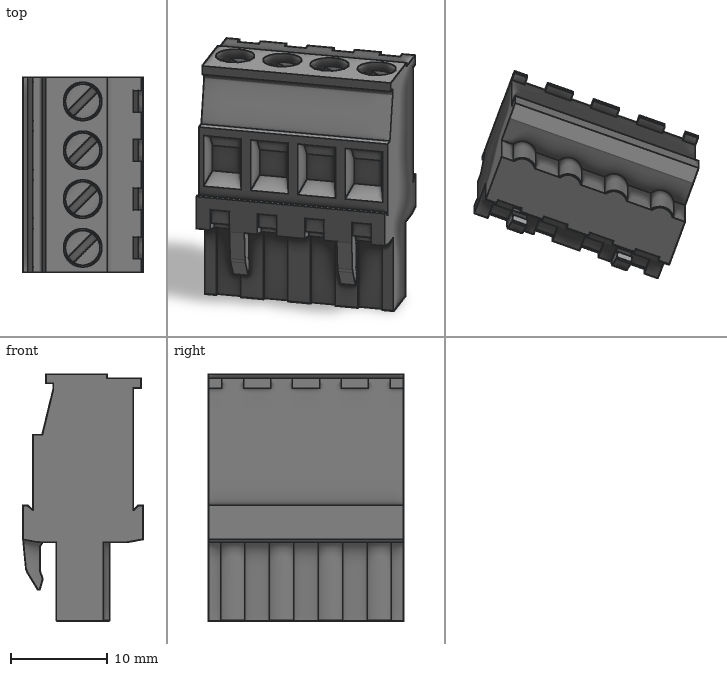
import cadquery as cq

POLES = 4
PITCH = 5.08
LENGTH = POLES * PITCH
HEIGHT = 25.7
FLANGE_WIDTH = 12.5
POLE_Y = [PITCH * (pole + 0.5) for pole in range(POLES)]

BODY_FRONT = 1.03
BODY_BACK = 11.5
BODY_SHOULDER_X = 2.0
BODY_SHOULDER_Z = 19.4
NECK_X = 3.15
NECK_Z = 24.15
LIP_FRONT = 2.38
LIP_BOTTOM = 24.75
TOP_STEP_X = 8.75
BACK_LIP_X = 12.3
BACK_LIP_TOP = 25.3
BACK_LIP_BOTTOM = 24.25

FLANGE_TOP = 12.05
FLANGE_BOTTOM = 8.2
FLANGE_EDGE_Z = 8.5
FLANGE_RELIEF_LENGTH = 1.65
EAR_WIDTH = 0.5
EAR_GROOVE_DEPTH = 0.5

PLUG_FRONT = 3.45
PLUG_BACK = 8.35
PLUG_CHAMFER = 0.1
PLUG_GROOVE_WIDTH = 2.65
PLUG_GROOVE_DEPTH = 0.45
RIB_DIAMETER = 3.0
RIB_BACK = 9.05

ENTRY_WIDTH = 4.05
ENTRY_BOTTOM = 12.9
ENTRY_TOP = 18.5
ENTRY_DEPTH = 1.6
ENTRY_BACK_WIDTH = 2.98
ENTRY_BACK_BOTTOM = 14.1
ENTRY_BACK_TOP = 16.9
ENTRY_CEILING_DEPTH = 0.6 * ENTRY_DEPTH

SCREW_X = 6.22
SCREW_HOLE_DIAMETER = 4.0
SCREW_HEAD_DIAMETER = 3.6
SCREW_HEAD_RECESS = 0.9
SCREW_SLOT_WIDTH = 0.83
SCREW_SLOT_DEPTH = 1.0
SCREW_SLOT_ANGLE = 45
SCREW_GAP_DEPTH = 1.2

FLANGE_NOTCH_WIDTH = 2.08
FLANGE_NOTCH_TOP = 10.75
FLANGE_NOTCH_DEPTH = 0.5
FLANGE_NOTCH_STEP_Z = 9.1
FLANGE_NOTCH_LOWER_DEPTH = 1.65
LIP_NOTCH_WIDTH = 2.25

LATCH_WIDTH = 1.6
LATCH_ARM_BACK = 1.8
LATCH_OFFSET = LENGTH / 2 - PITCH / 2 - FLANGE_NOTCH_WIDTH / 2 - LATCH_WIDTH / 2


def extrude_along_y(points, y_start, width):
    """Extrude an XZ outline towards +Y."""
    return cq.Workplane("XZ", origin=(0, y_start, 0)).polyline(points).close().extrude(-width)


def block(x_range, y_center, width, z_range):
    """Box given by its X and Z ranges and centred on y_center."""
    size_x = x_range[1] - x_range[0]
    size_z = z_range[1] - z_range[0]
    corner = (x_range[0], y_center - width / 2, z_range[0])
    return cq.Workplane("XY").box(size_x, width, size_z, centered=False).translate(corner)


def housing():
    """Housing, flange and plug as one constant section along Y."""
    outline = [
        (PLUG_FRONT + PLUG_CHAMFER, 0),
        (PLUG_BACK, 0),
        (PLUG_BACK, FLANGE_BOTTOM),
        (FLANGE_WIDTH - FLANGE_RELIEF_LENGTH, FLANGE_BOTTOM),
        (FLANGE_WIDTH, FLANGE_EDGE_Z),
        (FLANGE_WIDTH, FLANGE_TOP),
        (FLANGE_WIDTH - EAR_WIDTH, FLANGE_TOP),
        (BODY_BACK, FLANGE_TOP - EAR_GROOVE_DEPTH),
        (BODY_BACK, BACK_LIP_BOTTOM),
        (BACK_LIP_X, BACK_LIP_BOTTOM),
        (BACK_LIP_X, BACK_LIP_TOP),
        (TOP_STEP_X, BACK_LIP_TOP),
        (TOP_STEP_X, HEIGHT),
        (LIP_FRONT, HEIGHT),
        (LIP_FRONT, LIP_BOTTOM),
        (NECK_X, LIP_BOTTOM),
        (NECK_X, NECK_Z),
        (BODY_SHOULDER_X, BODY_SHOULDER_Z),
        (BODY_FRONT, BODY_SHOULDER_Z),
        (BODY_FRONT, FLANGE_TOP - EAR_GROOVE_DEPTH),
        (EAR_WIDTH, FLANGE_TOP),
        (0, FLANGE_TOP),
        (0, FLANGE_EDGE_Z),
        (FLANGE_RELIEF_LENGTH, FLANGE_BOTTOM),
        (PLUG_FRONT, FLANGE_BOTTOM),
        (PLUG_FRONT, PLUG_CHAMFER),
    ]
    return extrude_along_y(outline, 0, LENGTH)


def wire_entry(y):
    """Funnel pocket: side walls taper inwards, floor rises, ceiling drops at the back."""
    entry_height = ENTRY_TOP - ENTRY_BOTTOM
    plan = [
        (BODY_FRONT, y - ENTRY_WIDTH / 2),
        (BODY_FRONT + ENTRY_DEPTH, y - ENTRY_BACK_WIDTH / 2),
        (BODY_FRONT + ENTRY_DEPTH, y + ENTRY_BACK_WIDTH / 2),
        (BODY_FRONT, y + ENTRY_WIDTH / 2),
    ]
    side = [
        (BODY_FRONT, ENTRY_BOTTOM),
        (BODY_FRONT + ENTRY_DEPTH, ENTRY_BACK_BOTTOM),
        (BODY_FRONT + ENTRY_DEPTH, ENTRY_BACK_TOP),
        (BODY_FRONT + ENTRY_CEILING_DEPTH, ENTRY_TOP),
        (BODY_FRONT, ENTRY_TOP),
    ]
    tapered = cq.Workplane("XY", origin=(0, 0, ENTRY_BOTTOM)).polyline(plan).close().extrude(entry_height)
    return tapered.intersect(extrude_along_y(side, y - ENTRY_WIDTH / 2, ENTRY_WIDTH))


def screw_recess(y):
    """Screw hole with the slotted screw head left standing inside it."""
    head_top = HEIGHT - SCREW_HEAD_RECESS
    gap_bottom = head_top - SCREW_GAP_DEPTH
    hole_base = cq.Workplane("XY", origin=(SCREW_X, y, gap_bottom))
    hole = hole_base.circle(SCREW_HOLE_DIAMETER / 2).extrude(HEIGHT - gap_bottom)
    head = hole_base.circle(SCREW_HEAD_DIAMETER / 2).extrude(SCREW_GAP_DEPTH)
    slot = (
        cq.Workplane("XY", origin=(SCREW_X, y, head_top))
        .transformed(rotate=(0, 0, SCREW_SLOT_ANGLE))
        .rect(SCREW_HOLE_DIAMETER, SCREW_SLOT_WIDTH)
        .extrude(-SCREW_SLOT_DEPTH)
    )
    return hole.cut(head.cut(slot))


def flange_notch(y):
    """Stepped notch in the front of the flange, open at the bottom."""
    upper = block((0, FLANGE_NOTCH_DEPTH), y, FLANGE_NOTCH_WIDTH, (FLANGE_BOTTOM, FLANGE_NOTCH_TOP))
    lower = block((0, FLANGE_NOTCH_LOWER_DEPTH), y, FLANGE_NOTCH_WIDTH, (FLANGE_BOTTOM, FLANGE_NOTCH_STEP_Z))
    return upper.union(lower)


def lip_notch(y):
    """Notch through the back lip."""
    return block((BODY_BACK, BACK_LIP_X), y, LIP_NOTCH_WIDTH, (BACK_LIP_BOTTOM, BACK_LIP_TOP))


def plug_groove(y):
    """Shallow keying groove down the front of the plug."""
    groove_x = (PLUG_FRONT, PLUG_FRONT + PLUG_GROOVE_DEPTH)
    return block(groove_x, y, PLUG_GROOVE_WIDTH, (0, FLANGE_BOTTOM))


def plug_rib(y):
    """Round rib down the back of the plug, made as a cylinder partly buried in it."""
    radius = RIB_DIAMETER / 2
    return (
        cq.Workplane("XY", origin=(RIB_BACK - radius, y, 0))
        .circle(radius)
        .extrude(FLANGE_BOTTOM)
        .faces("<Z")
        .chamfer(PLUG_CHAMFER)
    )


def latch(y):
    """Hooked latch arm hanging from the front edge of the flange."""
    outline = [
        (0, FLANGE_EDGE_Z),
        (0.3, 5.45),
        (0.45, 5.05),
        (1.55, 3.25),
        (1.75, 3.25),
        (2.08, 4.4),
        (LATCH_ARM_BACK, 5.15),
        (LATCH_ARM_BACK, 7.8),
        (2.05, FLANGE_BOTTOM),
        (FLANGE_RELIEF_LENGTH, FLANGE_BOTTOM),
    ]
    return extrude_along_y(outline, y - LATCH_WIDTH / 2, LATCH_WIDTH)


result = housing()
for pole_y in POLE_Y:
    for pocket in (wire_entry, screw_recess, flange_notch, lip_notch, plug_groove):
        result = result.cut(pocket(pole_y))
    result = result.union(plug_rib(pole_y))

for side in (-1, 1):
    result = result.union(latch(LENGTH / 2 + side * LATCH_OFFSET))